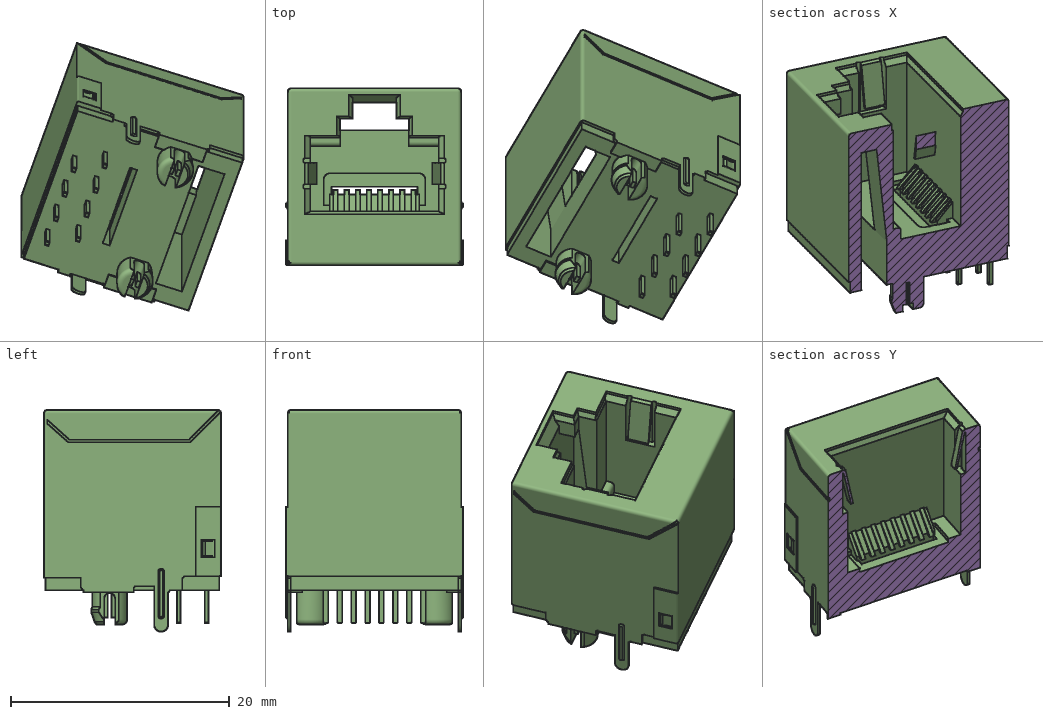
import cadquery as cq
import math


depth = 16.2
overall_width = 16.2
tab_thickness = 0.16
sheet = 0.26
shield_half = overall_width / 2 - tab_thickness
front_y = -depth / 2
rear_y = depth / 2
top_z = 16.52
overall_height = 20.3
tail_tip_z = top_z - overall_height
front_hem_z = 1.32
rear_hem_z = 1.15
edge_radius = 0.32
hem_length = 2.03
groove_depth = 0.16
groove_width = 0.25
foot_z = -0.18
foot_front_y = -0.12
foot_rear_y = 4.49
foot_width = 1.05

overlap = 0.2

base_half = shield_half - sheet
base_front_y = front_y + tab_thickness
base_rear_inset = 0.15
base_rear_y = rear_y - base_rear_inset

tail_y = -2.62
tail_width = 1.3
bead_width = 0.57
bead_bevel = 0.15
bead_top_z = 1.99
bead_bottom_z = -2.58

tab_rear_y = -5.79
tab_top_z = 7.65
window_y = -6.9
window_width = 1.25
window_z = 3.84
window_height = 1.58
latch_width = 0.9
latch_height = 1.34
latch_y = -6.86
latch_bulge = 0.15
tab_fold_radius = 0.152

rim_half = 6.4
rim_guide_half = 3.43
rim_key_half = 2.35
rim_front_y = -3.43
rim_rear_y = 3.74
rim_guide_y = 5.52
rim_key_y = 7.51
bevel_depth = 0.47
ledge_start = 0.35
floor_z = 4.47
keyway_slope_depth = 1.14
key_block_depth = 2.03
rear_bay_half = 6.1
rear_bay_y = 6.78
floor_rear_y = 4.26
guide_rear_y = 5.3
shelf_front_y = 2.8
shelf_rear_y = 3.57
shelf_height = 1.22
shelf_radius = 0.39
plug_half = 5.87
guide_half = 3.15
key_half = 1.99
plug_front_y = -3.17

spring_rear_y = 1.28
spring_front_y = -0.7
spring_gap = 0.4
spring_groove_radius = 0.18
spring_slot_half = 6.54
spring_length = 4.26
spring_bend_drop = 0.15
spring_bend_x = 6.07
spring_tip_x = 5.28
spring_tip_room = 0.81

contact_count = 8
contact_pitch = 1.02
contact_width = 0.43
contact_end_y = -1.2
contact_drop = 0.2
wire_tip_length = 0.25
wire_rise = 0.12
tray_half = 4.08
tray_rear_y = -1.6
tray_rise = 1.62
slot_half = 3.92
slot_rear_y = -0.93
pocket_half = 4.65
pocket_rear_y = 0.32
pocket_front_y = -2.6
pocket_depth = 0.4
pocket_radius = 0.6

pin_span = 8.9
pin_pitch = pin_span / (contact_count - 1)
pin_width = 0.47
pin_thickness = 0.35
pin_tip_z = -2.98
pin_tip_chamfer = 0.08
pin_front_row_y = -6.78
pin_rear_row_y = -4.22

peg_x = 5.77
peg_y = 2.1
peg_radius = 1.6
peg_half_width = 1.35
peg_tip_z = -3.13
peg_tip_radius = 0.49
peg_slot = 1.0
peg_slot_top_z = -0.25
rib_slot = 0.3
rib_tip_z = -2.48
rib_half_width = 0.3
barb_radius = peg_radius + 0.08
barb_z = -1.87
barb_lip = 0.25
barb_rise = 0.25
barb_tip_radius = 1.2
barb_tip_bevel = 0.18
barb_tip_bevel_height = 0.25


def box(x0, x1, y0, y1, z0, z1):
    """Box between two opposite corners."""
    return cq.Workplane("XY").box(x1 - x0, y1 - y0, z1 - z0, centered=False).translate((x0, y0, z0))


def side_plate(points, inner_x, thickness):
    """Plate with a (y, z) outline, growing toward +X from inner_x."""
    return cq.Workplane("YZ", origin=(inner_x, 0, 0)).polyline(points).close().extrude(thickness)


def both_sides(solid):
    """The solid together with its mirror image across X = 0."""
    return solid.union(solid.mirror("YZ"))


def flap_groove():
    """Groove in the +X wall around the trapezoid flap folded down from the top."""
    front_low_y = -5.18
    rear_low_y = 5.79
    low_z = 13.8
    rear_z = 15.6
    rear_end_y = rear_y - edge_radius
    rise = top_z - low_z
    corner_shift = groove_width * math.tan(math.pi / 8)
    outline = [
        (front_low_y - rise, top_z),
        (front_low_y, low_z),
        (rear_low_y, low_z),
        (rear_end_y, rear_z),
        (rear_end_y, rear_z - groove_width * math.sqrt(2)),
        (rear_low_y + corner_shift, low_z - groove_width),
        (front_low_y - corner_shift, low_z - groove_width),
        (front_low_y - rise - groove_width, top_z - groove_width / 2),
        (front_low_y - rise - groove_width, top_z),
    ]
    return side_plate(outline, shield_half - groove_depth, groove_depth)


def shield_and_base():
    """Outer block: folded shield over the plastic base."""
    shell = box(-shield_half, shield_half, front_y, rear_y, front_hem_z, top_z)
    shell = shell.edges(">Z or (>Y and |Z)").fillet(edge_radius)
    shell = shell.cut(both_sides(flap_groove()))
    hem = box(-shield_half, shield_half, base_rear_y - hem_length, rear_y, rear_hem_z, front_hem_z)
    hem = hem.edges(">Y and |Z").fillet(edge_radius)
    base = box(-base_half, base_half, base_front_y, base_rear_y, 0, top_z / 2)
    return shell.union(hem).union(base)


def skirt():
    """Lower edge of the +X shield wall with its solder tail, bead and foot."""
    tail_front_y = tail_y - tail_width / 2
    tail_rear_y = tail_y + tail_width / 2
    notch_z = 0.4
    rear_slope_z = 0.28
    notch_bevel = 0.15
    step_bevel = 0.2
    joint_z = front_hem_z + overlap
    front_step_y = -4.57
    rear_step_y = 4.73
    round_z = tail_tip_z + tail_width / 2
    plate = (
        cq.Workplane("YZ", origin=(base_half, 0, 0))
        .moveTo(base_rear_y - edge_radius, joint_z)
        .lineTo(base_rear_y - edge_radius, rear_hem_z)
        .lineTo(rear_step_y, rear_hem_z)
        .lineTo(rear_step_y, rear_slope_z)
        .lineTo(foot_rear_y, 0)
        .lineTo(foot_rear_y, foot_z)
        .lineTo(foot_front_y, foot_z)
        .lineTo(foot_front_y, notch_z - notch_bevel)
        .lineTo(foot_front_y - notch_bevel, notch_z)
        .lineTo(tail_rear_y, notch_z)
        .lineTo(tail_rear_y, round_z)
        .threePointArc((tail_y, tail_tip_z), (tail_front_y, round_z))
        .lineTo(tail_front_y, foot_z)
        .lineTo(tail_front_y + foot_z, 0)
        .lineTo(front_step_y, 0)
        .lineTo(front_step_y, front_hem_z - step_bevel)
        .lineTo(front_step_y - step_bevel, front_hem_z)
        .lineTo(front_step_y - step_bevel, joint_z)
        .close()
        .extrude(sheet)
    )
    bead_length = bead_top_z - bead_bottom_z
    bead = (
        cq.Workplane("YZ", origin=(shield_half - sheet, tail_y, (bead_top_z + bead_bottom_z) / 2))
        .slot2D(bead_length, bead_width, 90)
        .extrude(sheet + tab_thickness)
        .faces(">X").chamfer(bead_bevel)
    )
    foot = box(base_half - foot_width, base_half, foot_front_y, foot_rear_y, foot_z, overlap)
    return plate.union(bead).union(foot)


def locking_tab():
    """Tab folded from the front plate over the +X wall, latched in a window."""
    tab = box(shield_half, shield_half + tab_thickness, front_y, tab_rear_y, front_hem_z, tab_top_z)
    tab = tab.edges("<Y and >X").fillet(tab_fold_radius)
    window = cq.Workplane("XY").box(2 * tab_thickness, window_width, window_height)
    tab = tab.cut(window.translate((shield_half + tab_thickness, window_y, window_z)))
    low_z = window_z - latch_height / 2
    latch = (
        cq.Workplane("XY", origin=(0, latch_y, low_z))
        .moveTo(shield_half - sheet, -latch_width / 2)
        .lineTo(shield_half, -latch_width / 2)
        .lineTo(shield_half + latch_bulge, latch_width / 4)
        .lineTo(shield_half, latch_width / 2)
        .lineTo(shield_half - sheet, latch_width / 2)
        .close()
        .extrude(latch_height)
    )
    return tab.union(latch)


def stepped_outline(plane, half_main, half_guide, half_key, y_front, y_main, y_guide, y_key):
    """Plug-shaped closed outline: wide body, narrower guide and narrow latch keyway."""
    right = [
        (half_main, y_front),
        (half_main, y_main),
        (half_guide, y_main),
        (half_guide, y_guide),
        (half_key, y_guide),
        (half_key, y_key),
    ]
    left = [(-x, y) for x, y in reversed(right)]
    return plane.polyline(right + left).close()


def plug_opening():
    """Space for the plug: shield opening, bevelled lead-in, cavity and rear bay."""
    rim = (rim_half, rim_guide_half, rim_key_half, rim_front_y, rim_rear_y, rim_guide_y, rim_key_y)
    rim_z = top_z - sheet
    key_y = rim_key_y - (rim_key_y - rear_bay_y) * bevel_depth / keyway_slope_depth
    inner = (plug_half, guide_half, key_half, plug_front_y, shelf_rear_y, guide_rear_y)

    share = ledge_start / bevel_depth
    half_main, half_guide, half_key, y_front, _, y_guide, y_key = [
        upper + (lower - upper) * share for upper, lower in zip(rim, (*inner, key_y))
    ]
    middle = (half_main, half_guide, half_key, y_front, rim_rear_y, y_guide, y_key)

    rim_cut = stepped_outline(cq.Workplane("XY", origin=(0, 0, rim_z)), *rim).extrude(sheet)
    bevel = stepped_outline(cq.Workplane("XY", origin=(0, 0, rim_z)), *rim)
    bevel = stepped_outline(bevel.workplane(offset=-ledge_start), *middle)
    bevel = stepped_outline(bevel.workplane(offset=ledge_start - bevel_depth), *inner, key_y)
    bevel = bevel.loft(ruled=True)
    cavity = stepped_outline(cq.Workplane("XY", origin=(0, 0, floor_z)), *inner, rear_bay_y)
    cavity = cavity.extrude(rim_z - bevel_depth - floor_z)
    keyway = [
        (guide_rear_y, rim_z - bevel_depth),
        (key_y, rim_z - bevel_depth),
        (rear_bay_y, rim_z - keyway_slope_depth),
        (guide_rear_y, rim_z - keyway_slope_depth),
    ]
    keyway = side_plate(keyway, -key_half, 2 * key_half)
    bay_top_z = rim_z - key_block_depth
    bay = [
        (guide_rear_y, bay_top_z),
        (rear_bay_y, bay_top_z),
        (rear_bay_y, foot_z),
        (floor_rear_y, foot_z),
        (floor_rear_y, floor_z),
    ]
    bay = side_plate(bay, -rear_bay_half, 2 * rear_bay_half)
    return rim_cut.union(bevel).union(cavity).union(keyway).union(bay)


def plug_shelf():
    """Rounded ledge above the floor, behind the plug body on the +X side."""
    shelf = box(guide_half, plug_half, shelf_front_y, shelf_rear_y, floor_z, floor_z + shelf_height)
    return shelf.edges(">Z and <Y").fillet(shelf_radius)


def spring_slots():
    """Recess behind the +X spring, with a rounded groove along each side of it."""
    bottom_z = top_z - spring_length - spring_tip_room
    slots = box(plug_half - overlap, rim_half, spring_front_y, spring_rear_y, bottom_z, top_z)
    for y in (spring_front_y - spring_gap, spring_rear_y):
        groove = box(plug_half - overlap, spring_slot_half, y, y + spring_gap, bottom_z, top_z)
        slots = slots.union(groove.edges(">X and |Z").fillet(spring_groove_radius))
    return slots


def spring():
    """Sheet finger bent down from the rim and leaning into the opening."""
    tip_z = top_z - spring_length
    root_x = spring_slot_half + overlap
    bend_z = top_z - spring_bend_drop
    profile = [
        (root_x, top_z),
        (rim_half, top_z),
        (spring_bend_x, bend_z),
        (spring_tip_x, tip_z),
        (spring_tip_x + sheet, tip_z),
        (spring_bend_x + sheet, bend_z - sheet),
        (root_x, bend_z - sheet),
    ]
    finger = cq.Workplane("XZ", origin=(0, spring_rear_y, 0)).polyline(profile).close()
    return finger.extrude(spring_rear_y - spring_front_y)


def contact_pocket():
    """Sunken panel in the floor with a slot through the base for the contacts."""
    pocket = box(-pocket_half, pocket_half, pocket_front_y, pocket_rear_y, floor_z - pocket_depth, floor_z)
    pocket = pocket.edges(">Y and |Z").fillet(pocket_radius)
    slot = box(-slot_half, slot_half, tray_rear_y, slot_rear_y, 0, floor_z)
    return pocket.union(slot)


def contacts():
    """Sloping tray at the front of the cavity carrying the row of contact wires."""
    low_z = floor_z - pocket_depth
    embed_y = plug_front_y - overlap
    ramp = [
        (embed_y, low_z),
        (tray_rear_y, low_z),
        (tray_rear_y, floor_z),
        (plug_front_y, floor_z + tray_rise),
        (embed_y, floor_z + tray_rise),
    ]
    row = side_plate(ramp, -tray_half, 2 * tray_half)
    wire = [
        (embed_y, floor_z),
        (contact_end_y - wire_tip_length, floor_z - contact_drop),
        (contact_end_y, floor_z - contact_drop),
        (contact_end_y - wire_tip_length, floor_z + wire_rise),
        (plug_front_y, floor_z + tray_rise + wire_rise),
        (embed_y, floor_z + tray_rise + wire_rise),
    ]
    for i in range(contact_count):
        x = (i - (contact_count - 1) / 2) * contact_pitch
        row = row.union(side_plate(wire, x - contact_width / 2, contact_width))
    return row


def solder_pins():
    """Eight pins in two staggered rows."""
    pins = cq.Workplane("XY")
    for i in range(contact_count):
        x = (i - (contact_count - 1) / 2) * pin_pitch
        y = pin_front_row_y if i % 2 == 0 else pin_rear_row_y
        pin = box(x - pin_width / 2, x + pin_width / 2, y - pin_thickness / 2,
                  y + pin_thickness / 2, pin_tip_z, overlap)
        pins = pins.union(pin.edges("<Z and |Y").chamfer(pin_tip_chamfer))
    return pins


def mounting_peg():
    """Split peg on the +X side: rounded front half, barbed and tapered rear half."""
    slot_half_width = peg_slot / 2
    front = cq.Workplane("XY").circle(peg_radius).extrude(peg_tip_z)
    front = front.faces("<Z").edges().fillet(peg_tip_radius)
    front = front.intersect(box(-peg_half_width, peg_half_width, -peg_radius, 0, peg_tip_z, 0))
    barbed = [
        (0, 0),
        (peg_radius, 0),
        (peg_radius, barb_z + barb_lip / 2 + barb_rise),
        (barb_radius, barb_z + barb_lip / 2),
        (barb_radius, barb_z - barb_lip / 2),
        (barb_tip_radius + barb_tip_bevel, peg_tip_z + barb_tip_bevel_height),
        (barb_tip_radius, peg_tip_z),
        (0, peg_tip_z),
    ]
    rear = cq.Workplane("XZ").polyline(barbed).close().revolve(360, (0, 0), (0, 1))
    rear = rear.intersect(box(-peg_half_width, peg_half_width, 0, barb_radius, peg_tip_z, 0))
    arch_z = peg_slot_top_z - slot_half_width
    arch = (
        cq.Workplane("YZ", origin=(-peg_radius, 0, 0))
        .moveTo(-slot_half_width, peg_tip_z)
        .lineTo(-slot_half_width, arch_z)
        .threePointArc((0, peg_slot_top_z), (slot_half_width, arch_z))
        .lineTo(slot_half_width, peg_tip_z)
        .close()
        .extrude(2 * peg_radius)
    )
    rib = box(-rib_half_width, rib_half_width, rib_slot / 2, slot_half_width, rib_tip_z, 0)
    ribs = rib.union(rib.mirror("XZ"))
    peg = front.union(rear).cut(arch).union(ribs)
    root = box(-peg_half_width, peg_half_width, -peg_half_width, peg_half_width, 0, overlap)
    return peg.union(root).translate((peg_x, peg_y, 0))


body = shield_and_base().union(both_sides(skirt())).union(both_sides(locking_tab()))
body = body.cut(plug_opening()).cut(both_sides(spring_slots())).cut(contact_pocket())
body = body.union(both_sides(plug_shelf())).union(both_sides(spring())).union(contacts())
result = body.union(solder_pins()).union(both_sides(mounting_peg()))